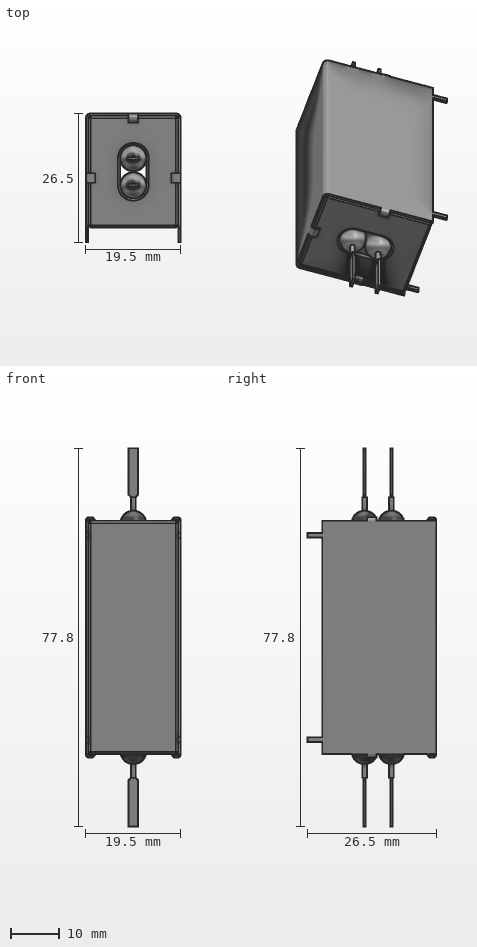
import cadquery as cq
import math

overall_width = 19.5
overall_depth = 26.5
overall_length = 77.8

sheet = 0.5
inner_corner_radius = sheet
outer_corner_radius = inner_corner_radius + sheet

pin_length = 3.0
pin_height = 1.0
pin_offset = 21.0

tab_width = 2.0
tab_inner_radius = 0.25
tab_flat = 0.295
tab_tip_angle = 55

block_width = overall_width - 2 * sheet
block_depth = overall_depth - pin_length - sheet
block_height = 48.0
edge_chamfer = 0.5

tube_diameter = 5.4
tube_radius = tube_diameter / 2
tube_pitch = 5.5
dome_center_depth = 0.6
lead_diameter = 1.0
blade_width = 2.0
blade_thickness = 0.5
blade_length = 10.0

back_y = overall_depth / 2
front_y = -overall_depth / 2 + pin_length
block_center_y = (back_y - sheet + front_y) / 2
half_height = block_height / 2
half_width = overall_width / 2
half_length = overall_length / 2
wall_depth = back_y - front_y


def make_block():
    """Chamfered block with a slot that fits both tubes running from end to end."""
    block = cq.Workplane("XY").box(block_width, block_depth, block_height).edges().chamfer(edge_chamfer)
    slot = (
        cq.Workplane("XY")
        .slot2D(tube_pitch + tube_diameter, tube_diameter, 90)
        .extrude(half_height, both=True)
    )
    block = block.cut(slot)
    block = block.faces("<Z or >Z").edges("%CIRCLE").chamfer(edge_chamfer)
    return block.translate((0, block_center_y, 0))


def make_tab():
    """Tab on a wall whose outer face is the YZ plane, curling over toward +X from Z = 0."""
    outer_radius = tab_inner_radius + sheet
    tip_center = outer_radius + tab_flat
    tip_angle = math.radians(tab_tip_angle)

    def first_bend(radius, angle):
        return (outer_radius - radius * math.cos(angle), radius * math.sin(angle))

    def second_bend(radius, angle):
        return (tip_center + radius * math.sin(angle), radius * math.cos(angle))

    def tip_end(radius):
        return (tip_center + radius / math.sin(tip_angle), 0)

    eighth_turn = math.pi / 4
    quarter_turn = math.pi / 2
    return (
        cq.Workplane("XZ")
        .moveTo(0, 0)
        .threePointArc(first_bend(outer_radius, eighth_turn), first_bend(outer_radius, quarter_turn))
        .lineTo(*second_bend(outer_radius, 0))
        .threePointArc(second_bend(outer_radius, tip_angle / 2), second_bend(outer_radius, tip_angle))
        .lineTo(*tip_end(outer_radius))
        .lineTo(*tip_end(tab_inner_radius))
        .lineTo(*second_bend(tab_inner_radius, tip_angle))
        .threePointArc(second_bend(tab_inner_radius, tip_angle / 2), second_bend(tab_inner_radius, 0))
        .lineTo(*first_bend(tab_inner_radius, quarter_turn))
        .threePointArc(first_bend(tab_inner_radius, eighth_turn), first_bend(tab_inner_radius, 0))
        .close()
        .extrude(tab_width / 2, both=True)
    )


def make_bracket():
    """U-shaped channel with four pins and three tabs at each end."""
    outside = (
        cq.Workplane("XY")
        .box(overall_width, wall_depth, block_height)
        .translate((0, (back_y + front_y) / 2, 0))
        .edges("|Z and >Y")
        .fillet(outer_corner_radius)
    )
    inside = (
        cq.Workplane("XY")
        .box(block_width, block_depth, block_height)
        .translate((0, block_center_y, 0))
        .edges("|Z and >Y")
        .fillet(inner_corner_radius)
    )
    bracket = outside.cut(inside)

    for side in (-1, 1):
        for end in (-1, 1):
            pin = (
                cq.Workplane("XY")
                .box(sheet, pin_length, pin_height)
                .translate((side * (half_width - sheet / 2), front_y - pin_length / 2, end * pin_offset))
            )
            bracket = bracket.union(pin)

    left_tab = make_tab().translate((-half_width, 0, half_height))
    right_tab = left_tab.mirror("YZ")
    back_tab = make_tab().rotate((0, 0, 0), (0, 0, 1), -90).translate((0, back_y, half_height))
    for tab in (left_tab, right_tab, back_tab):
        bracket = bracket.union(tab).union(tab.mirror("XY"))
    return bracket


def make_tube(y):
    """Round-ended tube with a round lead and a flat blade at each end."""
    dome_center = half_height - dome_center_depth
    blade_base = half_length - blade_length
    taper = (blade_width - lead_diameter) / 2

    tube = cq.Workplane("XY").circle(tube_radius).extrude(dome_center, both=True)
    lead = cq.Workplane("XY").circle(lead_diameter / 2).extrude(blade_base, both=True)
    tube = tube.union(lead)
    for end in (-1, 1):
        dome = cq.Workplane("XY").sphere(tube_radius).translate((0, 0, end * dome_center))
        tube = tube.union(dome)

    blade = (
        cq.Workplane("XY")
        .box(blade_width, blade_thickness, blade_length)
        .edges("|Y and <Z")
        .chamfer(taper)
        .translate((0, 0, half_length - blade_length / 2))
    )
    tube = tube.union(blade).union(blade.mirror("XY"))
    return tube.translate((0, y, 0))


block = make_block()
bracket = make_bracket()
tubes = []
for side in (-1, 1):
    tubes.append(make_tube(block_center_y + side * tube_pitch / 2))

result = cq.Compound.makeCompound([block.val(), bracket.val(), *[tube.val() for tube in tubes]])